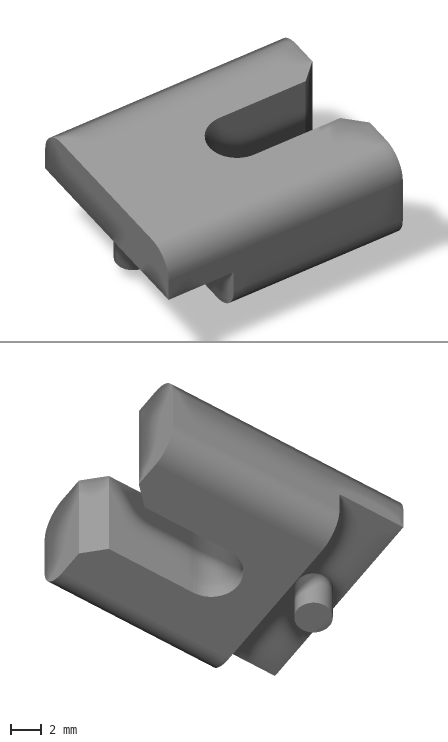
import cadquery as cq

width = 15.0
length = 18.0
height = 7.5
edge_radius = 2.0

step_length = 5.0
step_height = height / 2

pin_diameter = 2.5
pin_length = 3.0
pin_from_front = 2.0

slot_width = 4.2
slot_center_depth = 8.0
mouth_width = 7.0

front_y = -length / 2
back_y = length / 2
step_z = -height / 2 + step_height


def make_body():
    """Block with its four long edges rounded."""
    return cq.Workplane("XY").box(width, length, height).edges("|Y").fillet(edge_radius)


def make_step():
    """Volume removed from the lower front end."""
    return (
        cq.Workplane("XY", origin=(0, front_y + step_length / 2, step_z))
        .box(width, step_length, step_height, centered=(True, True, False))
        .translate((0, 0, -step_height))
    )


def make_slot():
    """Round-ended slot, widening at 45 degrees to its mouth in the back face."""
    half_slot = slot_width / 2
    half_mouth = mouth_width / 2
    mouth_depth = half_mouth - half_slot
    center_y = back_y - slot_center_depth
    return (
        cq.Workplane("XY", origin=(0, 0, -height / 2))
        .moveTo(-half_mouth, back_y)
        .lineTo(-half_slot, back_y - mouth_depth)
        .lineTo(-half_slot, center_y)
        .threePointArc((0, center_y - half_slot), (half_slot, center_y))
        .lineTo(half_slot, back_y - mouth_depth)
        .lineTo(half_mouth, back_y)
        .close()
        .extrude(height)
    )


def make_pin():
    """Round pin pointing down from the step face."""
    return (
        cq.Workplane("XY", origin=(0, front_y + pin_from_front, step_z))
        .circle(pin_diameter / 2)
        .extrude(-pin_length)
    )


result = make_body().cut(make_step()).cut(make_slot()).union(make_pin())